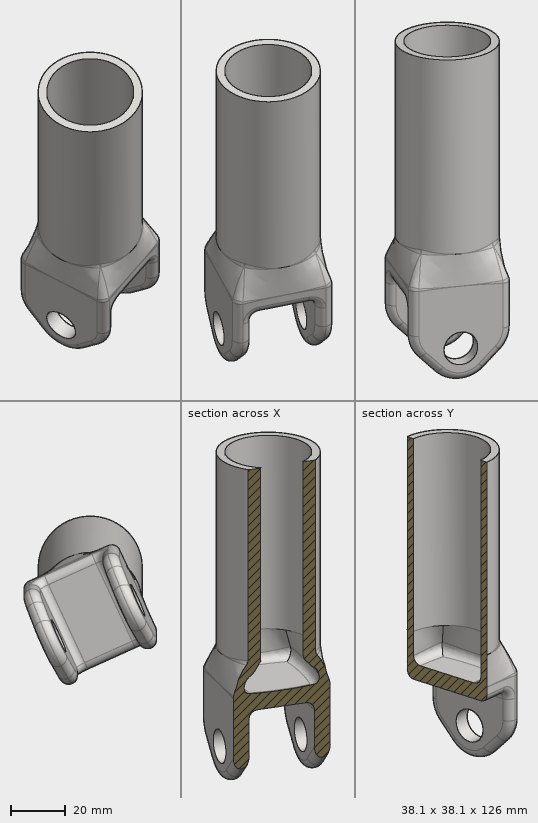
import cadquery as cq
import math

width = 38.1
wall = 3.175
leg = 2 * wall
overall_height = 125.99
tube_length = 76.2
transition_height = 12.7
pin_diameter = 12.7
tip_radius = 12.7
shoulder_radius = 12.7
slot_corner_radius = wall
floor_radius = wall
fillet_gap = 0.005
edge_radius = leg / 2 - fillet_gap
tube_setback = 0.01
tolerance = 0.01

half = width / 2
tube_radius = half - tube_setback
bore_radius = half - wall
tube_bottom = overall_height - tube_length
square_top = tube_bottom - transition_height
slot_top = square_top - leg
slot_width = width - 2 * leg
pin_height = tip_radius
diagonal = math.sqrt(0.5)
half_bend = math.radians(45) / 2


def square_outline(height, half_side):
    """Sharp square outline starting on the +X +Y diagonal."""
    corners = [
        (half_side, half_side),
        (-half_side, half_side),
        (-half_side, -half_side),
        (half_side, -half_side),
    ]
    return cq.Workplane("XY").workplane(offset=height).polyline(corners).close().val()


def circle_outline(height, radius):
    """Circle split into four arcs on the diagonals, to match the square corner by corner."""
    corner = radius * diagonal
    return (
        cq.Workplane("XY")
        .workplane(offset=height)
        .moveTo(corner, corner)
        .threePointArc((0, radius), (-corner, corner))
        .threePointArc((-radius, 0), (-corner, -corner))
        .threePointArc((0, -radius), (corner, -corner))
        .threePointArc((radius, 0), (corner, corner))
        .close()
        .val()
    )


def square_to_round(half_side, radius):
    """Transition from a square at the fork top to a circle at the tube bottom."""
    square = square_outline(square_top, half_side)
    circle = circle_outline(tube_bottom, radius)
    return cq.Workplane(cq.Solid.makeLoft([square, circle], True))


def upright_cylinder(radius):
    """Cylinder as long as the tube, standing on the transition."""
    return cq.Workplane("XY").workplane(offset=tube_bottom).circle(radius).extrude(tube_length)


def fork_block():
    """Square block with the rounded leg tip outline."""
    tangent_drop = shoulder_radius * math.tan(half_bend)
    flank_corner = pin_height + half - tip_radius / diagonal
    shoulder_start = flank_corner + tangent_drop
    tip_x = tip_radius * diagonal
    tip_z = pin_height - tip_radius * diagonal
    flank_x = half - tangent_drop * diagonal
    flank_z = flank_corner - tangent_drop * diagonal
    bend_x = half - shoulder_radius * (1 - math.cos(half_bend))
    bend_z = shoulder_start - shoulder_radius * math.sin(half_bend)
    return (
        cq.Workplane("XZ")
        .moveTo(-half, square_top)
        .lineTo(-half, shoulder_start)
        .threePointArc((-bend_x, bend_z), (-flank_x, flank_z))
        .lineTo(-tip_x, tip_z)
        .threePointArc((0, 0), (tip_x, tip_z))
        .lineTo(flank_x, flank_z)
        .threePointArc((bend_x, bend_z), (half, shoulder_start))
        .lineTo(half, square_top)
        .close()
        .extrude(half, both=True)
    )


def slot():
    """Slot through X between the legs, with rounded inner corners."""
    return (
        cq.Workplane("XY")
        .box(2 * width, slot_width, 2 * slot_top)
        .edges("|X and >Z")
        .fillet(slot_corner_radius)
    )


def on_outer_face(edge):
    """Edge of the leg outline lying on a face of constant Y."""
    box = edge.BoundingBox()
    flat = box.ylen < tolerance and abs(abs(box.center.y) - half) < tolerance
    return flat and box.zmin < square_top - tolerance and box.zmax < square_top + tolerance


def on_transition_corner(edge):
    """Edge rising from a corner of the square to the tube."""
    box = edge.BoundingBox()
    within = box.zmin > square_top - tolerance and box.zmax < tube_bottom + tolerance
    return within and box.zlen > tolerance


def on_slot_outline(edge):
    """Edge of the legs or the web around the slot, except the straight lines along X in its corners."""
    box = edge.BoundingBox()
    limit = slot_width / 2 + tolerance
    inside = box.ymin > -limit and box.ymax < limit and box.zmax < slot_top + tolerance
    return inside and box.xlen < width - tolerance


def on_transition_rim(edge):
    """Edge of the square or of the circle that bounds the transition."""
    box = edge.BoundingBox()
    at_square = abs(box.zmin - square_top) < tolerance
    at_circle = abs(box.zmin - tube_bottom) < tolerance
    return box.zlen < tolerance and (at_square or at_circle)


def rounded(edge):
    """True for every outside edge of the body that gets the edge radius."""
    rules = (on_outer_face, on_transition_corner, on_slot_outline, on_transition_rim)
    return any(rule(edge) for rule in rules)


def body():
    """Fork, transition and tube as one rounded solid, without the bore and the pin holes."""
    transition = square_to_round(half, tube_radius)
    blank = fork_block().cut(slot()).union(transition).union(upright_cylinder(tube_radius))
    outside_edges = [edge for edge in blank.edges().vals() if rounded(edge)]
    return blank.newObject(outside_edges).fillet(edge_radius)


def cavity():
    """Blind bore that follows the transition, with a rounded square floor."""
    foot = square_to_round(bore_radius, bore_radius).faces("<Z").edges().fillet(floor_radius)
    return foot.union(upright_cylinder(bore_radius))


def pin_hole():
    """Hole along Y through both legs."""
    return (
        cq.Workplane("XZ")
        .center(0, pin_height)
        .circle(pin_diameter / 2)
        .extrude(width, both=True)
    )


result = body().cut(cavity()).cut(pin_hole())